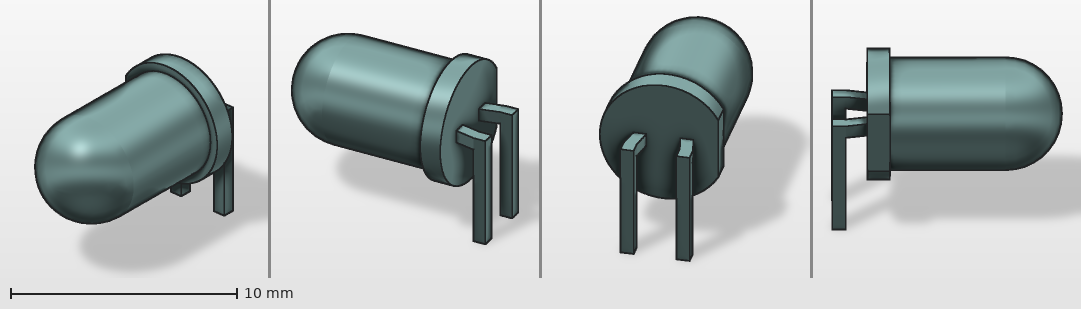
import cadquery as cq

total_length = 10.17
body_radius = 2.5
flange_radius = 2.9
flange_thickness = 1.0
lead_width = 0.6
lead_reach = 1.56
lead_tip_z = -5.0
lead_spacing = 2.54
lead_root_spacing = 2.14

dome_center_y = lead_reach + body_radius - total_length
dome_tip_y = dome_center_y - body_radius


def make_body():
    """Lens cylinder with its hemispherical dome, revolved about the Y axis."""
    profile = (
        cq.Workplane("XY")
        .lineTo(body_radius, 0)
        .lineTo(body_radius, dome_center_y)
        .radiusArc((0, dome_tip_y), body_radius)
        .close()
    )
    return profile.revolve(360, (0, 0, 0), (0, 1, 0))


def make_flange():
    """Flange disc with a flat on the -X side, tangent to the lens."""
    disc = cq.Workplane("XZ").circle(flange_radius).extrude(flange_thickness)
    keep_width = body_radius + flange_radius
    keep = cq.Workplane("XY").box(
        keep_width, 2 * flange_thickness, 2 * flange_radius
    ).translate((keep_width / 2 - body_radius, 0, 0))
    return disc.intersect(keep)


def make_lead(side):
    """Lead splaying outward from the flange, then turning down; side is +1 or -1."""
    half = lead_width / 2
    root_x = side * lead_root_spacing / 2
    leg_x = side * lead_spacing / 2
    bend_y = lead_reach - lead_width
    splay = (
        cq.Workplane("XY", origin=(0, 0, -half))
        .polyline([
            (root_x - half, 0),
            (root_x + half, 0),
            (leg_x + half, bend_y),
            (leg_x + half, lead_reach),
            (leg_x - half, lead_reach),
            (leg_x - half, bend_y),
        ])
        .close()
        .extrude(lead_width)
    )
    leg = (
        cq.Workplane("XY", origin=(leg_x, lead_reach - half, lead_tip_z))
        .rect(lead_width, lead_width)
        .extrude(half - lead_tip_z)
    )
    return splay.union(leg)


result = make_body().union(make_flange())
for side in (-1, 1):
    result = result.union(make_lead(side))